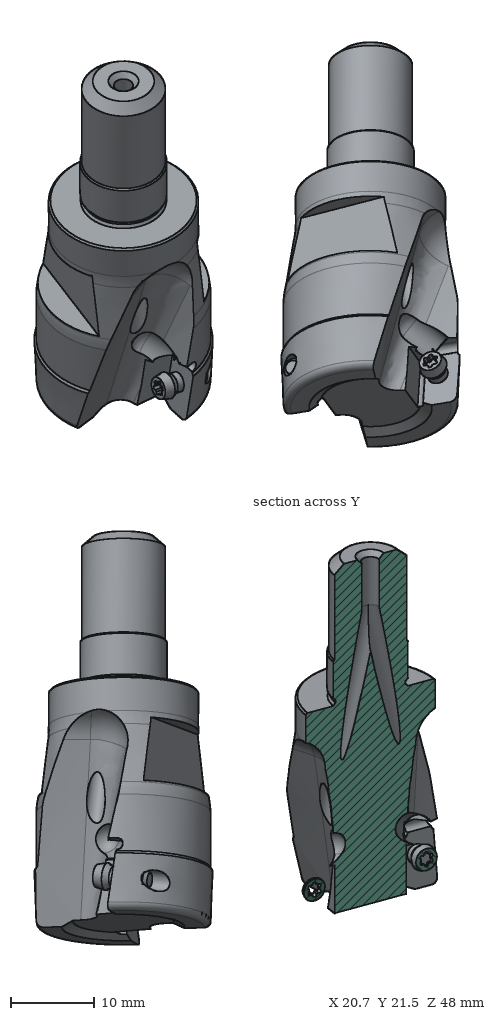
import cadquery as cq
import math

total_height = 48.0

shank_radius = 5.05
shank_end_radius = 3.7
shank_chamfer_height = 1.2
pilot_radius = 5.25
pilot_top = 35.3
pilot_bottom = 30.05
pilot_chamfer = 0.2
undercut_radius = 4.9
undercut_bottom = 29.45
undercut_foot_radius = 5.2
undercut_top = 29.72

collar_radius = 9.05
collar_top = 29.05
collar_chamfer = 0.25
collar_bottom = 24.8

cone_top_radius = 9.15
cone_top = 23.15
cone_bottom_radius = 10.32
cone_bottom = 15.75
cone_angle = math.atan((cone_bottom_radius - cone_top_radius) / (cone_top - cone_bottom))

head_radius = 10.5
head_top = 14.15
head_bottom = 7.15
rim_radius = 10.75
rim_top = 6.8
rim_bottom_radius = 10.5
rim_edge_round = 0.85

end_recess_depth = 0.7
end_recess_outer_radius = 7.4
end_recess_inner_radius = 6.05

flat_distance = 7.05
flat_turn = 9.3
flat_bottom = 15.95
flat_top = 24.05

bore_radius = 1.15
bore_mouth_radius = 1.82
bore_split_height = 40.8
outlet_point = (5.75, -1.7, 12.5)
outlet_overrun = 1.15

flute_start = -0.95
flute_end = 21.9
flute_bottom_corner = (2.35, -4.75)
flute_bottom_round = 2.1
flute_bottom_turn = 12.0
flute_top_corner = (6.8, -1.75)
flute_top_round = 4.3
flute_top_turn = 24.0
flute_top_lean = 12.0

seat_offset = 1.75
seat_tilt = 9.0
pocket_wall = 5.0
pocket_entry = -4.8
seat_groove_radius = 1.05
pocket_top = 7.3
relief_radius = 0.7
relief_start = 6.7
relief_point = (2.9, 8.0)
clearance_radius = 1.82
clearance_start = (5.3, -0.4, 9.9)
clearance_finish = (7.9, 2.15, 7.7)

screw_x = 7.8
screw_face_y = -0.5
screw_face_z = 4.8
screw_face_radius = 1.4
screw_head_radius = 1.7
screw_shank_radius = 1.25
screw_rim_depth = 1.25
screw_cone_depth = 2.0
screw_length = 6.8
screw_tip_radius = 0.85
screw_tip_height = 0.45
socket_depth = 0.95
socket_core_radius = 0.7
socket_lobe_radius = 0.25
socket_lobes = 6

cut_reach = 15.35

SIDES = (0, 180)


def turned_blank():
    """The body of revolution before any milling, with its recessed end face."""
    arc_sag = math.tan(cone_angle / 4)

    def blend(start, end):
        """Midpoint and bulge of the arc that runs smoothly between a cylinder and the cone."""
        mid_r = (start[0] + end[0]) / 2
        mid_z = (start[1] + end[1]) / 2
        half = math.dist(start, end) / 2
        return mid_r, mid_z, half * arc_sag

    top = (collar_radius, collar_bottom)
    cone_a = (cone_top_radius, cone_top)
    cone_b = (cone_bottom_radius, cone_bottom)
    low = (head_radius, head_top)
    top_r, top_z, top_sag = blend(top, cone_a)
    low_r, low_z, low_sag = blend(cone_b, low)
    profile = (
        cq.Workplane("XZ")
        .moveTo(0, end_recess_depth)
        .lineTo(end_recess_inner_radius, end_recess_depth)
        .lineTo(end_recess_outer_radius, 0)
        .lineTo(rim_bottom_radius - rim_edge_round, 0)
        .radiusArc((rim_bottom_radius, rim_edge_round), -rim_edge_round)
        .lineTo(rim_radius, rim_top)
        .lineTo(head_radius, head_bottom)
        .lineTo(*low)
        .threePointArc((low_r + low_sag, low_z), cone_b)
        .lineTo(*cone_a)
        .threePointArc((top_r - top_sag, top_z), top)
        .lineTo(collar_radius, collar_top - collar_chamfer)
        .lineTo(collar_radius - collar_chamfer, collar_top)
        .lineTo(undercut_foot_radius, collar_top)
        .lineTo(undercut_radius, undercut_bottom)
        .lineTo(undercut_radius, undercut_top)
        .lineTo(pilot_radius, pilot_bottom)
        .lineTo(pilot_radius, pilot_top - pilot_chamfer)
        .lineTo(shank_radius, pilot_top)
        .lineTo(shank_radius, total_height - shank_chamfer_height)
        .lineTo(shank_end_radius, total_height)
        .lineTo(0, total_height)
        .close()
    )
    return profile.revolve(360, (0, 0, 0), (0, 1, 0))


def wrench_flat():
    """Block that cuts the flat on the -Y side."""
    size = 2 * rim_radius
    block = cq.Workplane("XY").box(size, rim_radius, flat_top - flat_bottom, centered=(True, False, False))
    block = block.translate((0, -flat_distance - rim_radius, flat_bottom))
    return block.rotate((0, 0, 0), (0, 0, 1), -flat_turn)


def rod(start, end, radius):
    """Round rod between two points."""
    line = cq.Vector(*end) - cq.Vector(*start)
    return cq.Workplane(cq.Solid.makeCylinder(radius, line.Length, cq.Vector(*start), line))


def coolant_bore():
    """Chamfered bore down from the shank end."""
    bore = rod((0, 0, bore_split_height), (0, 0, total_height), bore_radius)
    mouth_depth = bore_mouth_radius - bore_radius
    mouth_start = cq.Vector(0, 0, total_height - mouth_depth)
    mouth = cq.Solid.makeCone(bore_radius, bore_mouth_radius, mouth_depth, mouth_start)
    return bore.union(cq.Workplane(mouth))


def coolant_outlet():
    """Slanted channel from the bore to the +X flute."""
    start = cq.Vector(0, 0, bore_split_height)
    end = start + (cq.Vector(*outlet_point) - start) * outlet_overrun
    return rod(start.toTuple(), end.toTuple(), bore_radius)


def flute_directions(turn, lean):
    """Unit vectors out of the flute floor, leaning down, and level along it towards the wall."""
    angle = math.radians(turn)
    drop = math.radians(lean)
    outward = cq.Vector(math.cos(angle) * math.cos(drop), math.sin(angle) * math.cos(drop), -math.sin(drop))
    along = cq.Vector(-math.sin(angle), math.cos(angle))
    return outward, along


def flute_section(height, corner, radius, turn, lean):
    """Closed section of the flute: floor, round corner and wall."""
    outward, along = flute_directions(turn, lean)
    base = cq.Vector(corner[0], corner[1], height)
    center = base + outward * radius
    floor_end = base - along * cut_reach
    wall_start = center + along * radius
    wall_end = wall_start + outward * cut_reach
    arc_middle = center + (along - outward) * (radius / math.sqrt(2))
    outer_corner = floor_end + outward * (radius + cut_reach)
    return cq.Wire.assembleEdges(
        [
            cq.Edge.makeLine(floor_end, base),
            cq.Edge.makeThreePointArc(base, arc_middle, wall_start),
            cq.Edge.makeLine(wall_start, wall_end),
            cq.Edge.makeLine(wall_end, outer_corner),
            cq.Edge.makeLine(outer_corner, floor_end),
        ]
    )


def flute_cutters():
    """Cutters of the flute: a twisting trough and its round upper end."""
    lower = flute_section(flute_start, flute_bottom_corner, flute_bottom_round, flute_bottom_turn, 0)
    upper = flute_section(flute_end, flute_top_corner, flute_top_round, flute_top_turn, flute_top_lean)
    trough = cq.Workplane(cq.Solid.makeLoft([lower, upper], True))
    outward, along = flute_directions(flute_top_turn, flute_top_lean)
    center = cq.Vector(*flute_top_corner, flute_end) + outward * flute_top_round
    tail = center - along * cut_reach
    ball = cq.Workplane("XY").sphere(flute_top_round).translate(center.toTuple())
    end_round = rod(center.toTuple(), tail.toTuple(), flute_top_round)
    return [trough, end_round, ball]


def seat_frame(shape):
    """Tilt a shape about the line where the seat meets the end plane."""
    return shape.rotate((0, seat_offset, 0), (1, seat_offset, 0), -seat_tilt)


def pocket_cutters():
    """Cutters of the pocket: tilted seat, upright wall, the groove between them and a relief above."""
    outline = (
        cq.Workplane("XY")
        .box(cut_reach, 2 * cut_reach, pocket_top, centered=False)
        .translate((pocket_wall, pocket_entry, 0))
    )
    block = cq.Workplane("XY").box(2 * cut_reach, cut_reach, 2 * cut_reach)
    in_front_of_seat = seat_frame(block.translate((cut_reach, seat_offset - cut_reach / 2, 0)))
    pocket = outline.intersect(in_front_of_seat)
    groove_start = (pocket_wall, seat_offset, -pocket_top)
    groove_end = (pocket_wall, seat_offset, cut_reach)
    groove_rod = rod(groove_start, groove_end, seat_groove_radius)
    groove = outline.intersect(seat_frame(groove_rod))
    relief = rod((relief_start, *relief_point), (cut_reach, *relief_point), relief_radius)
    slot = cq.Workplane("XY").box(cut_reach, cut_reach, 2 * relief_radius, centered=(False, False, True))
    slot = slot.translate((relief_start, relief_point[0] - cut_reach, relief_point[1]))
    clearance = rod(clearance_start, clearance_finish, clearance_radius)
    ball = cq.Workplane("XY").sphere(clearance_radius).translate(clearance_start)
    return [pocket, groove, relief, slot, clearance, ball]


def place_on_seat(shape):
    """Move a shape drawn along -Z from its top face to the screw axis of the +X seat."""
    upright = shape.rotate((0, 0, 0), (1, 0, 0), 90 - seat_tilt)
    return upright.translate((screw_x, screw_face_y, screw_face_z))


def screw_hole():
    """Plain through hole on the screw axis."""
    return place_on_seat(rod((0, 0, -screw_cone_depth), (0, 0, -cut_reach), screw_shank_radius))


def turn_to(shape, angle):
    """Turn a shape about the tool axis."""
    return shape.rotate((0, 0, 0), (0, 0, 1), angle)


def cutter_body():
    """The milling cutter with its two flutes, pockets, flats and coolant passages."""
    body = turned_blank().cut(coolant_bore())
    cutters = [wrench_flat(), *flute_cutters(), *pocket_cutters(), screw_hole(), coolant_outlet()]
    for angle in SIDES:
        for cutter in cutters:
            body = body.cut(turn_to(cutter, angle))
    return body


def clamping_screw():
    """Countersunk screw with a six-lobed socket, on the +X seat."""
    screw = (
        cq.Workplane("XZ")
        .lineTo(screw_face_radius, 0)
        .lineTo(screw_head_radius, -screw_rim_depth)
        .lineTo(screw_shank_radius, -screw_cone_depth)
        .lineTo(screw_shank_radius, screw_tip_height - screw_length)
        .lineTo(screw_tip_radius, -screw_length)
        .lineTo(0, -screw_length)
        .close()
        .revolve(360, (0, 0, 0), (0, 1, 0))
    )
    socket = cq.Workplane("XY").circle(socket_core_radius).extrude(-socket_depth)
    lobes = (
        cq.Workplane("XY")
        .polarArray(socket_core_radius, 90, 360, socket_lobes)
        .circle(socket_lobe_radius)
        .extrude(-socket_depth)
    )
    return place_on_seat(screw.cut(socket.union(lobes)))


body = cutter_body()
screws = [turn_to(clamping_screw(), angle) for angle in SIDES]

result = cq.Compound.makeCompound([body.val(), *[screw.val() for screw in screws]])